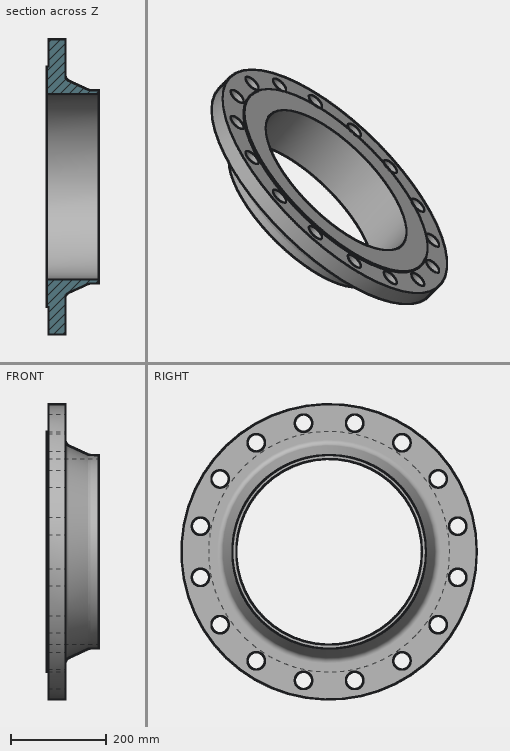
import cadquery as cq

flange_diameter = 620.0
raised_face_diameter = 505.0
raised_face_height = 4.0
flange_back = 39.5
total_length = 110.0
pipe_diameter = 406.0
bore_diameter = 389.0
hub_base_diameter = 452.0
weld_end_length = 20.0
hub_root_radius = 12.5
hub_neck_radius = 12.5
bolt_circle_diameter = 550.0
bolt_hole_diameter = 36.0
bolt_count = 16

neck_start = total_length - weld_end_length
bolt_pitch = 360.0 / bolt_count


def flange_profile():
    """Half section of the solid flange, with distance from the axis along Y."""
    return (
        cq.Workplane("XY")
        .lineTo(0, raised_face_diameter / 2)
        .lineTo(raised_face_height, raised_face_diameter / 2)
        .lineTo(raised_face_height, flange_diameter / 2)
        .lineTo(flange_back, flange_diameter / 2)
        .lineTo(flange_back, hub_base_diameter / 2)
        .lineTo(neck_start, pipe_diameter / 2)
        .lineTo(total_length, pipe_diameter / 2)
        .lineTo(total_length, 0)
        .close()
    )


def circular_edge_at(x, diameter):
    """Selector for the circular edge of the given diameter at axial position x."""
    margin = 0.5
    reach = diameter / 2 + margin
    return cq.selectors.BoxSelector(
        (x - margin, -reach, -reach), (x + margin, reach, reach), boundingbox=True
    )


body = flange_profile().revolve(360, (0, 0, 0), (1, 0, 0))
body = body.edges(circular_edge_at(flange_back, hub_base_diameter)).fillet(hub_root_radius)
body = body.edges(circular_edge_at(neck_start, pipe_diameter)).fillet(hub_neck_radius)

bore = cq.Workplane("YZ").circle(bore_diameter / 2).extrude(total_length)

bolt_holes = (
    cq.Workplane("YZ")
    .polarArray(bolt_circle_diameter / 2, bolt_pitch / 2, 360, bolt_count)
    .circle(bolt_hole_diameter / 2)
    .extrude(flange_back)
)

result = body.cut(bore).cut(bolt_holes)